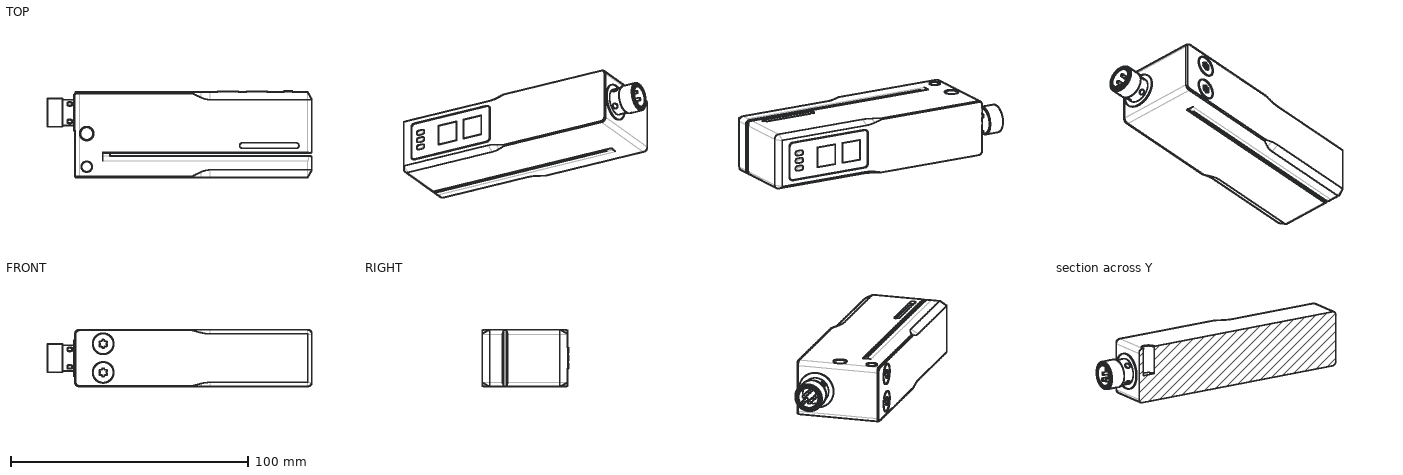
import cadquery as cq
import math


TOTAL_LENGTH = 111.8
HEIGHT = 24.0
DEPTH = 36.1
BODY_START = 11.7
END_ROUND = 1.9

SMALL_BEVEL = (0.7, 0.3)
LARGE_BEVEL = (3.2, 1.8)
RAMP_START = 61.5
RAMP_ARC_START = 64.8
RAMP_END = 68.8

GAP_START = 26.6
GAP_BEVEL_START = 23.5
GAP_LOW = 9.2
GAP_HIGH = 10.3
GAP_EDGE_BEVEL = 0.3
MOUTH_BEVEL = 0.6
LIP_WIDTH = 2.0
LIP_DROP = 0.07

SEAM_WIDTH = 0.17
SEAM_DEPTH = 0.3
SCREW_X = 23.7
SCREW_SPACING = 12.1
SCREW_HEAD_DIAMETER = 8.9
SOCKET_LOBES = 6
SOCKET_CORE_DIAMETER = 2.7
SOCKET_LOBE_DIAMETER = 1.0
SOCKET_DEPTH = 1.1
MOUNT_X = 16.8
MOUNT_Y = 18.6
MOUNT_DIAMETER = 5.3
MOUNT_MOUTH_BEVEL = 0.3
MOUNT_HOLE_DEPTH = HEIGHT / 2
FLUSH_PIN_Y = 4.6
FLUSH_PIN_DIAMETER = 4.6

LIGHT_SLOT_START = 81.3
LIGHT_SLOT_END = 106.3
LIGHT_SLOT_WIDTH = 2.2
LIGHT_SLOT_Y = 13.5
LIGHT_SLOT_DEPTH = 1.1

PANEL_START = 68.0
PANEL_END = 106.4
PANEL_HEIGHT = 16.8
PANEL_CORNER = 1.7
BUTTON_CENTRES = (76.4, 88.5)
BUTTON_SIZE = 8.7
BUTTON_RISE = 0.3
LAMP_X = 101.7
LAMP_SPACING = 3.4
LAMP_LENGTH = 3.7
LAMP_WIDTH = 2.1
LAMP_RISE = 0.6
LAMP_ROUND = 0.5

PLUG_Y = 27.4
COLLAR_DIAMETER = 15.2
COLLAR_THICKNESS = 0.5
NECK_DIAMETER = 11.0
NUT_DIAMETER = 12.0
NUT_LENGTH = 6.7
NUT_BEVEL = 0.3
SLEEVE_DIAMETER = 10.1
BORE_DIAMETER = 8.6
BORE_DEPTH = 6.1
CONTACT_COUNT = 4
CONTACT_DIAMETER = 1.2
CONTACT_RADIUS = 2.3
CONTACT_LENGTH = 5.0
KEY_DIAMETER = 1.3
KEY_RADIUS = 3.8
WINDOW_COUNT = 4
WINDOW_FIRST_ANGLE = 45
WINDOW_X = 9.6
WINDOW_DIAMETER = 2.2
WINDOW_DEPTH = 0.5

TOP = HEIGHT / 2
BODY_LENGTH = TOTAL_LENGTH - BODY_START
BODY_MIDDLE_X = BODY_START + BODY_LENGTH / 2


def box(x_range, y_range, z_range):
    """Box spanning the given (low, high) ranges."""
    sizes = [high - low for low, high in (x_range, y_range, z_range)]
    corner = (x_range[0], y_range[0], z_range[0])
    return cq.Workplane("XY").box(*sizes, centered=False).translate(corner)


def seam(plane, diameter):
    """Thin ring cut inward from a plane whose normal points out of the part."""
    outer = diameter / 2
    return cq.Workplane(plane).circle(outer).circle(outer - SEAM_WIDTH).extrude(-SEAM_DEPTH)


def side_plane(x, y, z=0.0, outward=1):
    """Plane parallel to XZ with its normal along +Y (outward=1) or -Y (outward=-1)."""
    return cq.Plane(origin=(x, y, z), xDir=(1, 0, 0), normal=(0, outward, 0))


def housing_block(bevel):
    """Block with rounded ends and the given bevel around both large side faces."""
    return (
        cq.Workplane(side_plane(BODY_MIDDLE_X, 0))
        .rect(BODY_LENGTH, HEIGHT)
        .extrude(DEPTH)
        .edges("|Y")
        .fillet(END_ROUND)
        .faces("<Y or >Y")
        .chamfer(*bevel)
    )


def bevel_ramp():
    """Tool that runs the small bevel into the large one along the +Y, +Z edge."""
    across, down = LARGE_BEVEL
    slant = math.hypot(across, down)
    full_depth = across * down / slant
    start_depth = full_depth * SMALL_BEVEL[0] / across
    arc_length = RAMP_END - RAMP_ARC_START
    line_length = RAMP_ARC_START - RAMP_START
    slope_rise = full_depth - start_depth
    arc_depth = full_depth - slope_rise * arc_length / (arc_length + 2 * line_length)
    clearance = 1.1
    along_bevel = cq.Plane(origin=(0, DEPTH, TOP), xDir=(1, 0, 0), normal=(0, -across, down))
    return (
        cq.Workplane(along_bevel)
        .moveTo(RAMP_END, clearance)
        .lineTo(RAMP_START, clearance)
        .lineTo(RAMP_START, -start_depth)
        .lineTo(RAMP_ARC_START, -arc_depth)
        .tangentArcPoint((RAMP_END, -full_depth), relative=False)
        .close()
        .extrude(slant, both=True)
    )


def housing():
    long_bevelled = housing_block(LARGE_BEVEL)
    shoulder = housing_block(SMALL_BEVEL).intersect(
        box((BODY_START, RAMP_END), (0, DEPTH), (-TOP, TOP))
    )
    body = long_bevelled.union(shoulder)
    upper_ramp = bevel_ramp()
    for ramp in (upper_ramp, upper_ramp.mirror("XZ", (0, DEPTH / 2, 0))):
        body = body.cut(ramp).cut(ramp.mirror("XY"))
    return body


def fork_gap():
    """Gap between the arms, widened along its edges and at its open end."""
    gap = box((GAP_START, TOTAL_LENGTH), (GAP_LOW, GAP_HIGH), (-TOP, TOP))
    top_widening = (
        cq.Workplane("YZ", origin=(GAP_BEVEL_START, 0, 0))
        .moveTo(GAP_LOW - LIP_WIDTH, TOP)
        .lineTo(GAP_LOW, TOP - LIP_DROP)
        .lineTo(GAP_HIGH, TOP - GAP_EDGE_BEVEL)
        .lineTo(GAP_HIGH + GAP_EDGE_BEVEL, TOP)
        .close()
        .extrude(TOTAL_LENGTH - GAP_BEVEL_START)
    )
    mouth = (
        cq.Workplane("XY", origin=(0, 0, -TOP))
        .moveTo(TOTAL_LENGTH - MOUTH_BEVEL, GAP_LOW)
        .lineTo(TOTAL_LENGTH, GAP_LOW - MOUTH_BEVEL)
        .lineTo(TOTAL_LENGTH, GAP_HIGH + MOUTH_BEVEL)
        .lineTo(TOTAL_LENGTH - MOUTH_BEVEL, GAP_HIGH)
        .close()
        .extrude(HEIGHT)
    )
    return gap.union(top_widening).union(top_widening.mirror("XY")).union(mouth)


def screw_marks():
    """Head seam and six-lobed socket of the two flush screws in the -Y face."""
    marks = cq.Workplane("XY")
    for z in (-SCREW_SPACING / 2, SCREW_SPACING / 2):
        plane = side_plane(SCREW_X, 0, z, outward=-1)
        core = cq.Workplane(plane).circle(SOCKET_CORE_DIAMETER / 2).extrude(-SOCKET_DEPTH)
        lobes = (
            cq.Workplane(plane)
            .polarArray(SOCKET_CORE_DIAMETER / 2, 90, 360, SOCKET_LOBES)
            .circle(SOCKET_LOBE_DIAMETER / 2)
            .extrude(-SOCKET_DEPTH)
        )
        marks = marks.add(seam(plane, SCREW_HEAD_DIAMETER).union(core).union(lobes))
    return marks.combine()


def top_holes():
    """Mounting hole with bevelled mouth, seam of the flush pin, and the light slot."""
    mouth_radius = MOUNT_DIAMETER / 2 + MOUNT_MOUTH_BEVEL
    mount = (
        cq.Workplane("XZ", origin=(MOUNT_X, MOUNT_Y, 0))
        .moveTo(0, TOP)
        .lineTo(mouth_radius, TOP)
        .lineTo(MOUNT_DIAMETER / 2, TOP - MOUNT_MOUTH_BEVEL)
        .lineTo(MOUNT_DIAMETER / 2, TOP - MOUNT_HOLE_DEPTH)
        .lineTo(0, TOP - MOUNT_HOLE_DEPTH)
        .close()
        .revolve(360, (0, 0), (0, 1))
    )
    pin_seam = seam(cq.Plane(origin=(MOUNT_X, FLUSH_PIN_Y, TOP)), FLUSH_PIN_DIAMETER)
    slot_middle = (LIGHT_SLOT_START + LIGHT_SLOT_END) / 2
    light_slot = (
        cq.Workplane("XY", origin=(slot_middle, LIGHT_SLOT_Y, TOP))
        .slot2D(LIGHT_SLOT_END - LIGHT_SLOT_START, LIGHT_SLOT_WIDTH)
        .extrude(-LIGHT_SLOT_DEPTH)
    )
    return mount.union(pin_seam).union(light_slot)


def panel_seam():
    """Thin outline of the keypad panel in the +Y face."""
    length = PANEL_END - PANEL_START
    plane = side_plane((PANEL_START + PANEL_END) / 2, DEPTH)

    def plate(inset):
        return (
            cq.Workplane(plane)
            .rect(length - 2 * inset, PANEL_HEIGHT - 2 * inset)
            .extrude(-SEAM_DEPTH)
            .edges("|Y")
            .fillet(PANEL_CORNER - inset)
        )

    return plate(0).cut(plate(SEAM_WIDTH))


def keypad():
    """Two square buttons and a row of three indicator lamps."""
    raised = cq.Workplane("XY")
    for x in BUTTON_CENTRES:
        button = cq.Workplane(side_plane(x, DEPTH)).rect(BUTTON_SIZE, BUTTON_SIZE).extrude(BUTTON_RISE)
        raised = raised.add(button)
    for row in (-1, 0, 1):
        lamp = (
            cq.Workplane(side_plane(LAMP_X, DEPTH, row * LAMP_SPACING))
            .slot2D(LAMP_LENGTH, LAMP_WIDTH)
            .extrude(LAMP_RISE)
            .faces(">Y")
            .edges()
            .fillet(LAMP_ROUND)
        )
        raised = raised.add(lamp)
    return raised.combine()


def plug_rod(diameter, start, end):
    """Cylinder on the plug axis between two X positions."""
    return cq.Workplane("YZ", origin=(start, PLUG_Y, 0)).circle(diameter / 2).extrude(end - start)


def plug():
    nut = plug_rod(NUT_DIAMETER, 0, NUT_LENGTH).edges().chamfer(NUT_BEVEL)
    neck = plug_rod(NECK_DIAMETER, NUT_LENGTH - NUT_BEVEL, BODY_START)
    collar = plug_rod(COLLAR_DIAMETER, BODY_START - COLLAR_THICKNESS, BODY_START)
    body = nut.union(neck).union(collar).cut(plug_rod(BORE_DIAMETER, 0, BORE_DEPTH))

    face = cq.Plane(origin=(0, PLUG_Y, 0), xDir=(0, 0, 1), normal=(-1, 0, 0))
    body = body.cut(seam(face, SLEEVE_DIAMETER))

    floor = cq.Workplane("YZ", origin=(BORE_DEPTH, PLUG_Y, 0))
    contacts = (
        floor.polarArray(CONTACT_RADIUS, 0, 360, CONTACT_COUNT)
        .circle(CONTACT_DIAMETER / 2)
        .extrude(-CONTACT_LENGTH)
    )
    key_offset = KEY_RADIUS * math.sqrt(0.5)
    key = floor.center(key_offset, -key_offset).circle(KEY_DIAMETER / 2).extrude(-CONTACT_LENGTH)
    body = body.union(contacts).union(key)

    for index in range(WINDOW_COUNT):
        window = (
            cq.Workplane("XY", origin=(WINDOW_X, PLUG_Y, NECK_DIAMETER / 2 - WINDOW_DEPTH))
            .circle(WINDOW_DIAMETER / 2)
            .extrude(2 * WINDOW_DEPTH)
        )
        turn = WINDOW_FIRST_ANGLE + index * 360 / WINDOW_COUNT
        body = body.cut(window.rotate((0, PLUG_Y, 0), (1, PLUG_Y, 0), turn))
    return body


result = housing()
for opening in (fork_gap(), screw_marks(), top_holes(), panel_seam()):
    result = result.cut(opening)
result = result.union(keypad()).union(plug())